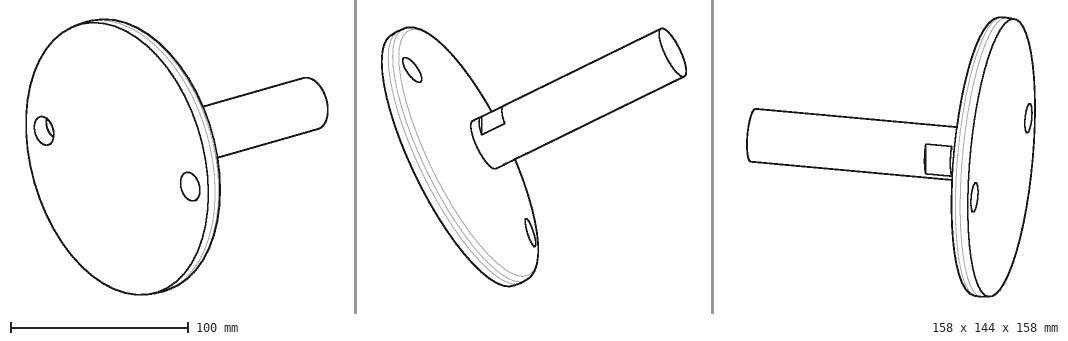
import cadquery as cq
import math

plate_radius = 79.0
face_radius = 78.5
taper_height = 4.5
shoulder_height = 7.3
shoulder_radius = 78.8
cone_start_height = 10.0
cone_start_radius = 76.6
cone_top_height = 20.5

stem_radius = 15.0
total_height = 144.0

flats_across = 24.0
flat_start = 25.9
flat_length = 15.0

hole_diameter = 16.5
hole_offset = 62.9
hole_overrun = 31.6

cone_rise = cone_top_height - cone_start_height
cone_run = cone_start_radius - stem_radius
cone_angle = math.atan2(cone_rise, cone_run)


def make_body():
    """Revolve the plate and stem profile around the Y axis."""
    return (
        cq.Workplane("XY")
        .lineTo(0, total_height)
        .lineTo(stem_radius, total_height)
        .lineTo(stem_radius, cone_top_height)
        .lineTo(cone_start_radius, cone_start_height)
        .tangentArcPoint((shoulder_radius, shoulder_height), relative=False)
        .lineTo(plate_radius, taper_height)
        .lineTo(face_radius, 0)
        .close()
        .revolve(360, (0, 0, 0), (0, 1, 0))
    )


def make_flat_cutter(side):
    """Block that cuts one wrench flat; side is -1 or +1 along X."""
    depth = stem_radius
    return cq.Workplane("XY").box(depth, flat_length, 2 * stem_radius).translate(
        (side * (flats_across + depth) / 2, flat_start + flat_length / 2, 0)
    )


def make_hole_cutter(side):
    """Cylinder along the cone normal; side is -1 or +1 along X."""
    axis = cq.Vector(side * math.sin(cone_angle), math.cos(cone_angle), 0)
    start = cq.Vector(side * hole_offset, 0, 0) - axis * hole_overrun
    return cq.Solid.makeCylinder(hole_diameter / 2, 2 * hole_overrun, start, axis)


result = make_body()
for side in (-1, 1):
    result = result.cut(make_flat_cutter(side))
    result = result.cut(cq.Workplane(obj=make_hole_cutter(side)))